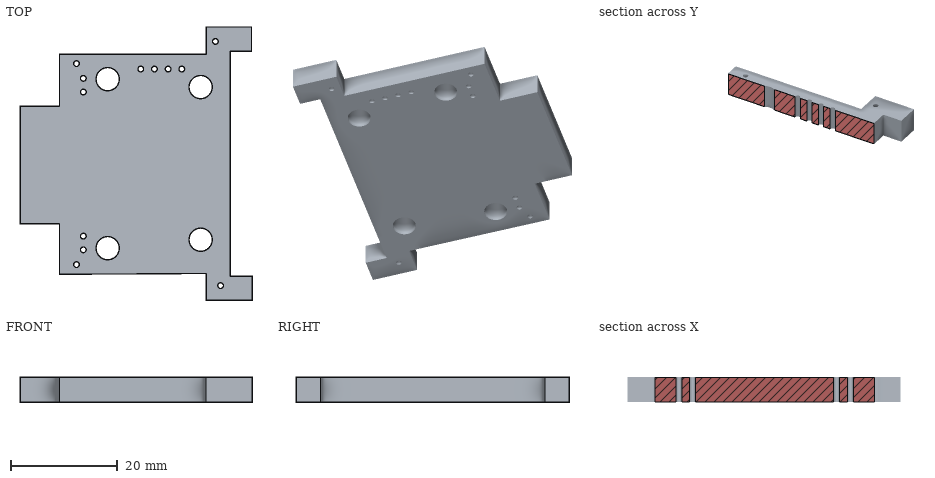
import cadquery as cq

length_x = 43.45
width_y = 51.2
thickness = 4.7

body_left = 7.3
body_right = 39.35
body_top = 46.1
body_bottom_left = 4.85
body_bottom_right = 5.0

tongue_bottom = 14.35
tongue_top = 36.35

tab_left = 34.8
tab_height = 4.55
upper_tab_right = 43.3

mount_diameter = 4.3
pin_diameter = 1.0
pin_pitch = 2.55
left_mount_x = 16.4
right_mount_x = 33.8
mount_centres = [
    (left_mount_x, 9.8),
    (left_mount_x, 41.4),
    (right_mount_x, 11.35),
    (right_mount_x, 39.9),
]

pin_row_start = (22.55, 43.3)
pin_row_count = 4
pin_column_x = 11.8
pin_column_starts = [9.45, 39.0]
pin_column_count = 2
corner_pin_x = 10.55
corner_pins = [(corner_pin_x, 6.7), (corner_pin_x, 44.3)]
tab_pins = [(37.5, 2.75), (36.55, 48.45)]


def make_plate():
    outline = [
        (0, tongue_bottom),
        (body_left, tongue_bottom),
        (body_left, body_bottom_left),
        (tab_left, body_bottom_right),
        (tab_left, 0),
        (length_x, 0),
        (length_x, tab_height),
        (body_right, tab_height),
        (body_right, width_y - tab_height),
        (upper_tab_right, width_y - tab_height),
        (upper_tab_right, width_y),
        (tab_left, width_y),
        (tab_left, body_top),
        (body_left, body_top),
        (body_left, tongue_top),
        (0, tongue_top),
    ]
    return cq.Workplane("XY").polyline(outline).close().extrude(thickness)


def pin_centres():
    row_x, row_y = pin_row_start
    row = [(row_x + i * pin_pitch, row_y) for i in range(pin_row_count)]
    columns = [
        (pin_column_x, start_y + i * pin_pitch)
        for start_y in pin_column_starts
        for i in range(pin_column_count)
    ]
    return row + columns + corner_pins + tab_pins


def through_holes(centres, diameter):
    return cq.Workplane("XY").pushPoints(centres).circle(diameter / 2).extrude(thickness)


result = (
    make_plate()
    .cut(through_holes(mount_centres, mount_diameter))
    .cut(through_holes(pin_centres(), pin_diameter))
)